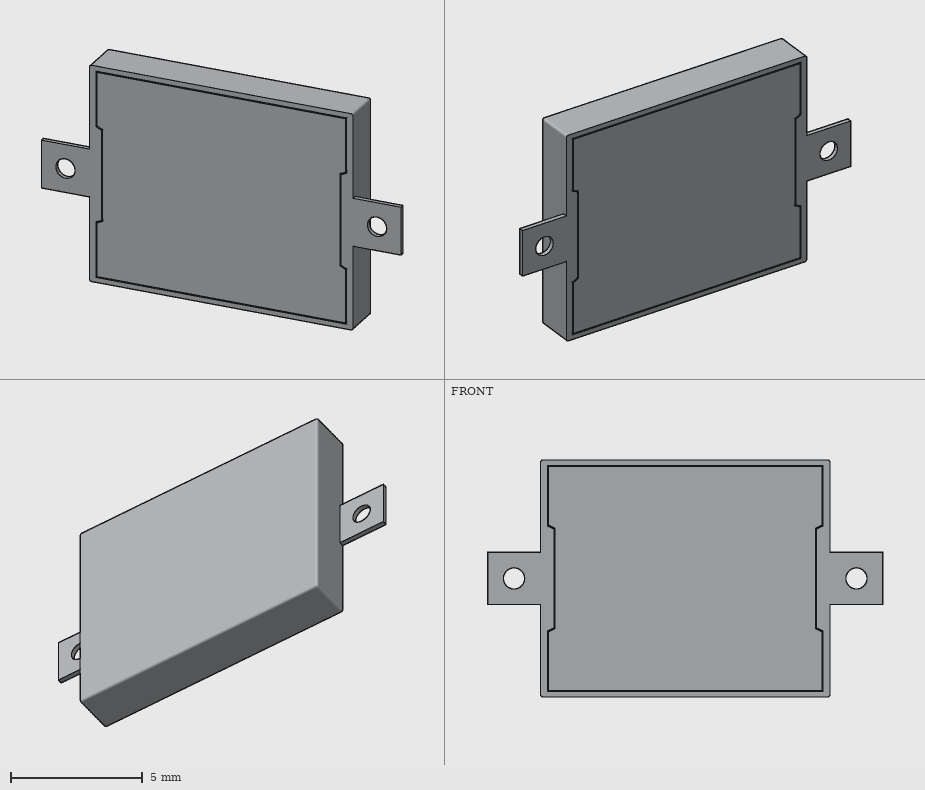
import cadquery as cq

total_length = 15.0
body_length = 11.0
body_depth = 1.7
body_height = 9.0
edge_radius = 0.1

tab_height = 2.0
tab_thickness = 0.2
hole_diameter = 0.8
hole_to_tab_end = 1.0

groove_width = 0.05
groove_depth = tab_thickness
side_rim = 0.27
end_rim = 0.21
notch_depth = 0.24
notch_mouth_half_height = 2.0
notch_floor_half_height = 1.88


def front_sketch():
    """Sketch plane on the front face; extruding a negative distance goes into the part."""
    return cq.Workplane("XZ")


def make_body():
    body = front_sketch().rect(body_length, body_height).extrude(-body_depth)
    return body.edges("|Y or >Y").fillet(edge_radius)


def make_tabs():
    """One strip across the body makes both tabs."""
    hole_spacing = total_length - 2 * hole_to_tab_end
    strip = front_sketch().rect(total_length, tab_height).extrude(-tab_thickness)
    holes = (
        front_sketch()
        .rarray(hole_spacing, 0.15, 2, 1)
        .circle(hole_diameter / 2)
        .extrude(-tab_thickness)
    )
    return strip.cut(holes)


def make_cover_outline():
    """Outer edge of the groove: a rectangle with a shallow notch beside each tab."""
    half_length = body_length / 2 - side_rim
    half_height = body_height / 2 - end_rim
    notch_x = half_length - notch_depth
    right_side = [
        (half_length, -half_height),
        (half_length, -notch_mouth_half_height),
        (notch_x, -notch_floor_half_height),
        (notch_x, notch_floor_half_height),
        (half_length, notch_mouth_half_height),
        (half_length, half_height),
    ]
    left_side = [(-x, -z) for x, z in right_side]
    return front_sketch().polyline(right_side + left_side).close()


def make_groove():
    outer = make_cover_outline().extrude(-groove_depth)
    cover = make_cover_outline().offset2D(-groove_width, "intersection").extrude(-groove_depth)
    return outer.cut(cover)


result = make_body().union(make_tabs()).cut(make_groove())